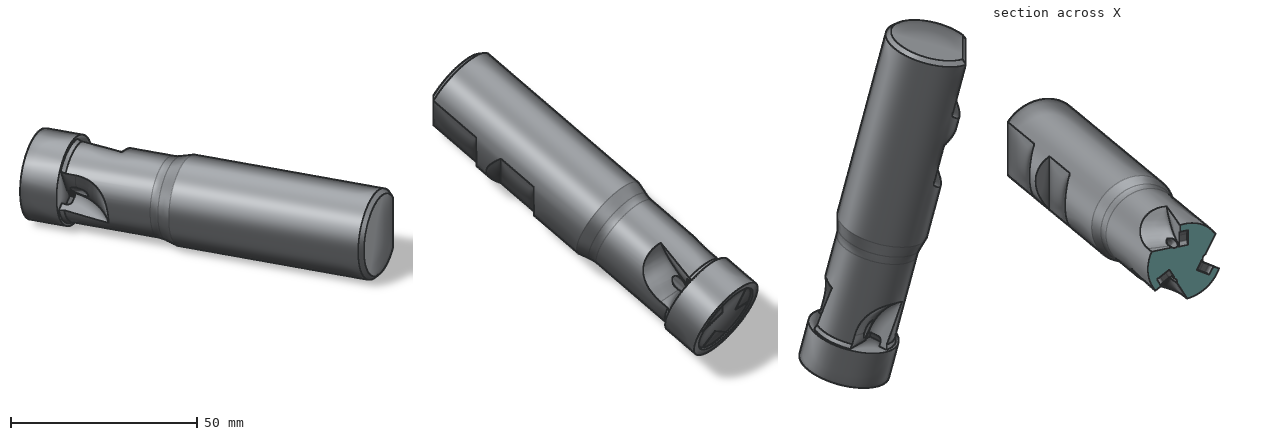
import cadquery as cq
import math

total_length = 100.0
shank_radius = 12.5
end_chamfer = 1.2

neck_radius = 11.2
neck_end = 37.4
shank_start = 43.4
cone_angle = math.radians(15)
blend_radius = 9.3

head_length = 10.7
shoulder_radius = 11.7
shoulder_length = 1.3
recess_rim_radius = 10.6
recess_floor_radius = 10.3
recess_depth = 0.5
insert_mark_depth = 0.1
insert_mark_y = 0.7

flat_height = 9.7
front_flat_start = 59.0
front_flat_end = 76.7
rear_flat_start = 80.2

flute_count = 3
rake_angle = math.radians(10)
rake_start_x = 13.2
rake_start_y = 1.4
flute_floor = 5.0
flute_run_in = 6.0
runout_radius = 14.0

pocket_floor_y = -1.0
pocket_bottom = 4.6
pocket_top = 9.2
pocket_end = 13.2
pocket_height = 3.0
pocket_corner_radius = 1.4

coolant_radius = 1.35
coolant_x = 15.0
coolant_y = 2.7
coolant_angle = math.radians(25)


def turned_body():
    """Neck, blend, cone and chamfered shank, turned about X."""
    cone_start_x = neck_end + blend_radius * math.sin(cone_angle)
    cone_start_radius = neck_radius + blend_radius * (1 - math.cos(cone_angle))
    half_angle = cone_angle / 2
    arc_middle = (
        neck_end + blend_radius * math.sin(half_angle),
        neck_radius + blend_radius * (1 - math.cos(half_angle)),
    )
    profile = (
        cq.Workplane("XY")
        .moveTo(recess_depth, 0)
        .lineTo(recess_depth, neck_radius)
        .lineTo(neck_end, neck_radius)
        .threePointArc(arc_middle, (cone_start_x, cone_start_radius))
        .lineTo(shank_start, shank_radius)
        .lineTo(total_length - end_chamfer, shank_radius)
        .lineTo(total_length, shank_radius - end_chamfer)
        .lineTo(total_length, 0)
        .close()
    )
    shoulder = (
        cq.Workplane("XY")
        .moveTo(head_length, 0)
        .lineTo(head_length, shoulder_radius)
        .lineTo(head_length + shoulder_length, neck_radius)
        .lineTo(head_length + shoulder_length, 0)
        .close()
    )
    axis = ((0, 0, 0), (1, 0, 0))
    return profile.revolve(360, *axis).union(shoulder.revolve(360, *axis))


def clamping_flats():
    """Material removed above the two flats, including the chamfer at the shank end."""
    ramp = shank_radius - flat_height
    front = (
        cq.Workplane("XY")
        .moveTo(front_flat_start, shank_radius)
        .lineTo(front_flat_start + ramp, flat_height)
        .lineTo(front_flat_end - ramp, flat_height)
        .lineTo(front_flat_end, shank_radius)
        .close()
    )
    rear = (
        cq.Workplane("XY")
        .moveTo(rear_flat_start, shank_radius)
        .lineTo(rear_flat_start + ramp, flat_height)
        .lineTo(total_length - end_chamfer, flat_height)
        .lineTo(total_length, flat_height - end_chamfer)
        .lineTo(total_length, shank_radius)
        .close()
    )
    return front.extrude(shank_radius, both=True).union(rear.extrude(shank_radius, both=True))


def flute():
    """One chip flute: a flat floor rising in an arc, square to the tilted rake face."""
    rake_plane = cq.Plane(
        origin=(rake_start_x, rake_start_y, 0),
        xDir=(math.cos(rake_angle), -math.sin(rake_angle), 0),
        normal=(-math.sin(rake_angle), -math.cos(rake_angle), 0),
    )
    diagonal = math.sqrt(0.5)
    return (
        cq.Workplane(rake_plane)
        .moveTo(-flute_run_in, flute_floor)
        .lineTo(0, flute_floor)
        .threePointArc(
            (runout_radius * diagonal, flute_floor + runout_radius * (1 - diagonal)),
            (runout_radius, flute_floor + runout_radius),
        )
        .lineTo(-flute_run_in, flute_floor + runout_radius)
        .close()
        .extrude(-2 * shank_radius)
    )


def insert_pocket():
    """Rounded pocket behind the insert, open towards the head."""
    return (
        cq.Workplane("XY")
        .box(pocket_end, pocket_height, pocket_top - pocket_bottom, centered=False)
        .edges("|Y and >X")
        .fillet(pocket_corner_radius)
        .translate((0, pocket_floor_y, pocket_bottom))
    )


def coolant_hole():
    """Slanted hole, parallel to the rake face, meeting the axis height behind the flute."""
    direction = cq.Vector(
        math.cos(coolant_angle) * math.cos(rake_angle),
        -math.cos(coolant_angle) * math.sin(rake_angle),
        -math.sin(coolant_angle),
    )
    mouth = cq.Vector(coolant_x, coolant_y, flute_floor)
    depth = flute_floor / math.sin(coolant_angle)
    start = mouth - direction * depth
    return cq.Workplane(cq.Solid.makeCylinder(coolant_radius, 2 * depth, start, direction))


def head():
    """Cutting head with its conical front recess."""
    return (
        cq.Workplane("XY")
        .moveTo(recess_depth, 0)
        .lineTo(recess_depth, recess_floor_radius)
        .lineTo(0, recess_rim_radius)
        .lineTo(0, shank_radius)
        .lineTo(head_length, shank_radius)
        .lineTo(head_length, 0)
        .close()
        .revolve(360, (0, 0, 0), (1, 0, 0))
    )


def insert_mark():
    """Shallow step in the recess floor where an insert sits."""
    quadrant = (
        cq.Workplane("XY")
        .box(insert_mark_depth, shank_radius, shank_radius, centered=False)
        .translate((recess_depth, insert_mark_y, pocket_bottom))
    )
    disc = cq.Workplane("YZ").circle(recess_floor_radius).extrude(head_length)
    return quadrant.intersect(disc)


def around_axis(feature):
    """Copies of a feature at each flute position."""
    step = 360 / flute_count
    return [feature.rotate((0, 0, 0), (1, 0, 0), i * step) for i in range(flute_count)]


result = turned_body().cut(clamping_flats())
for feature in (flute(), insert_pocket(), coolant_hole()):
    for cutter in around_axis(feature):
        result = result.cut(cutter)

result = result.union(head())
for cutter in around_axis(insert_mark()):
    result = result.cut(cutter)